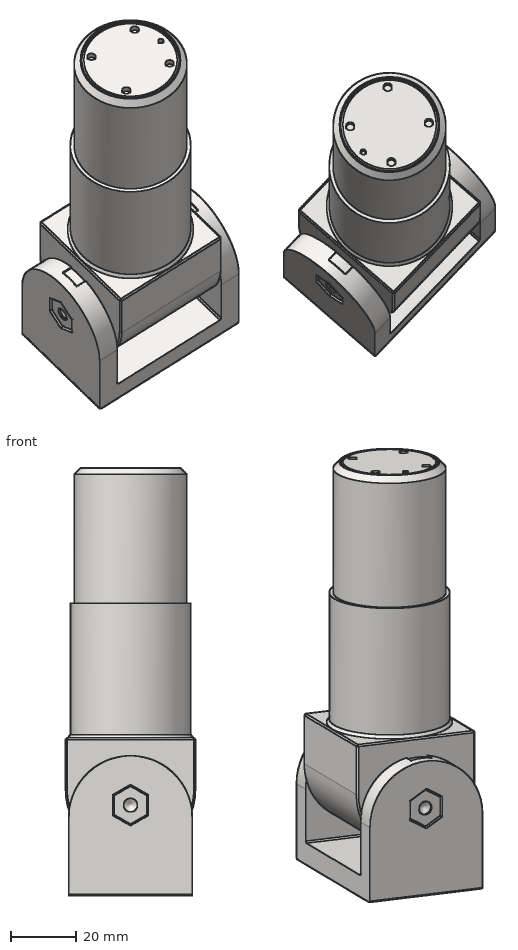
import cadquery as cq

YOKE_WIDTH = 38.0
YOKE_LENGTH = 55.0
YOKE_WALL = 7.0
ARCH_CENTER_Z = 24.0
YOKE_EDGE_CHAMFER = 0.5
NOTCH_WIDTH = 7.0
NOTCH_LENGTH = 3.4
NOTCH_DEPTH = 0.5

BLOCK_WIDTH = 40.0
BLOCK_TOP_Z = 48.5
BLOCK_ROUND_CENTER_Z = 32.6
BLOCK_CHAMFER = 0.5

PIVOT_Z = 27.9
SOCKET_FLATS = 10.9
HEAD_FLATS = 10.1
HEAD_RECESS = 0.7
HEAD_THICKNESS = 3.0
SHANK_DIAMETER = 6.0
SHANK_LENGTH_IN_BLOCK = 5.3
CENTER_HOLE_DIAMETER = 4.2
CENTER_HOLE_DEPTH = 0.7
CENTER_HOLE_POINT = 1.2

TOTAL_HEIGHT = 131.5
FOOT_DIAMETER = 38.7
FOOT_HEIGHT = 1.0
LOWER_DIAMETER = 37.1
UPPER_DIAMETER = 34.7
STEP_Z = 90.0
RIM_CHAMFER = 2.0

LID_DIAMETER = 30.0
LID_THICKNESS = 2.6
LID_CHAMFER = 0.7
SCREW_HOLE_DIAMETER = 2.6
SCREW_PITCH = 17.1
MARK_HOLE_DIAMETER = 1.7
MARK_HOLE_RADIUS = 12.0
LID_HOLE_DEPTH = 2.0

ARM_OUTER_Y = YOKE_LENGTH / 2
ARM_INNER_Y = ARM_OUTER_Y - YOKE_WALL
BLOCK_HALF = BLOCK_WIDTH / 2
HEX_CORNERS = 2 / 3 ** 0.5
HEAD_OUTER_Y = ARM_OUTER_Y - HEAD_RECESS
SOCKET_FLOOR_Y = HEAD_OUTER_Y - HEAD_THICKNESS
SHANK_END_Y = BLOCK_HALF - SHANK_LENGTH_IN_BLOCK


def arched_plate(half_width, center_z, flat_z, depth):
    """Plate centred on Y: a square end at flat_z and a half-round end on the other side of center_z."""
    direction = 1 if center_z > flat_z else -1
    return (
        cq.Workplane("XZ")
        .moveTo(-half_width, flat_z)
        .lineTo(half_width, flat_z)
        .lineTo(half_width, center_z)
        .threePointArc((0, center_z + direction * half_width), (-half_width, center_z))
        .close()
        .extrude(depth / 2, both=True)
    )


def pivot_plane(y):
    """Plane on the pivot axis at the given Y, facing -Y, with its X axis along +Z."""
    return cq.Workplane(cq.Plane(origin=(0, y, PIVOT_Z), xDir=(0, 0, 1), normal=(0, -1, 0)))


def mirrored_pair(shape):
    """The shape on the -Y side together with its mirror copy on the +Y side."""
    return [shape, shape.mirror("XZ")]


def hex_prism(flats, outer_y, inner_y):
    """Hexagonal prism on the pivot axis of the -Y arm, corners pointing up and down."""
    return pivot_plane(-inner_y).polygon(6, flats * HEX_CORNERS).extrude(outer_y - inner_y)


def shank():
    """Round pin shank from the socket floor into the block."""
    return pivot_plane(-SHANK_END_Y).circle(SHANK_DIAMETER / 2).extrude(SOCKET_FLOOR_Y - SHANK_END_Y)


def arm_notch():
    """Shallow notch in the crown of the -Y arm, open towards the block."""
    crown_radius = YOKE_WIDTH / 2
    notch_box = (
        cq.Workplane("XY", origin=(0, -ARM_INNER_Y - NOTCH_LENGTH / 2, ARCH_CENTER_Z))
        .rect(NOTCH_WIDTH, NOTCH_LENGTH)
        .extrude(2 * crown_radius)
    )
    notch_floor = (
        cq.Workplane("XZ", origin=(0, 0, ARCH_CENTER_Z))
        .circle(crown_radius - NOTCH_DEPTH)
        .extrude(ARM_OUTER_Y)
    )
    return notch_box.cut(notch_floor)


def make_yoke():
    yoke = arched_plate(YOKE_WIDTH / 2, ARCH_CENTER_Z, 0, YOKE_LENGTH)
    yoke = yoke.faces("<Z").edges("|X").chamfer(YOKE_EDGE_CHAMFER)
    opening = (
        cq.Workplane("XY", origin=(0, 0, YOKE_WALL))
        .rect(2 * YOKE_WIDTH, 2 * ARM_INNER_Y)
        .extrude(TOTAL_HEIGHT)
        .faces("<Z")
        .edges("|X")
        .chamfer(YOKE_EDGE_CHAMFER)
    )
    yoke = yoke.cut(opening)
    socket = hex_prism(SOCKET_FLATS, ARM_OUTER_Y, SOCKET_FLOOR_Y)
    for cutter in (socket, shank(), arm_notch()):
        for side_cutter in mirrored_pair(cutter):
            yoke = yoke.cut(side_cutter)
    return yoke


def make_block():
    block = arched_plate(BLOCK_HALF, BLOCK_ROUND_CENTER_Z, BLOCK_TOP_Z, BLOCK_WIDTH)
    block = block.faces("<Y or >Y or >Z").edges().chamfer(BLOCK_CHAMFER)
    for shank_bore in mirrored_pair(shank()):
        block = block.cut(shank_bore)
    return block


def make_pin():
    """Pin of the -Y arm: hexagonal head, round shank and a drilled centre hole with a conical end."""
    pin = hex_prism(HEAD_FLATS, HEAD_OUTER_Y, SOCKET_FLOOR_Y).union(shank())
    radius = CENTER_HOLE_DIAMETER / 2
    tip_depth = CENTER_HOLE_DEPTH + CENTER_HOLE_POINT
    center_hole = (
        cq.Workplane("XY", origin=(0, -HEAD_OUTER_Y, PIVOT_Z))
        .polyline([(0, 0), (radius, 0), (radius, CENTER_HOLE_DEPTH), (0, tip_depth)])
        .close()
        .revolve(360, (0, 0, 0), (0, 1, 0))
    )
    return pin.cut(center_hole)


def make_barrel():
    foot_top_z = BLOCK_TOP_Z + FOOT_HEIGHT
    barrel = (
        cq.Workplane("XZ")
        .moveTo(0, BLOCK_TOP_Z)
        .lineTo(FOOT_DIAMETER / 2, BLOCK_TOP_Z)
        .lineTo(LOWER_DIAMETER / 2, foot_top_z)
        .lineTo(LOWER_DIAMETER / 2, STEP_Z)
        .lineTo(UPPER_DIAMETER / 2, STEP_Z)
        .lineTo(UPPER_DIAMETER / 2, TOTAL_HEIGHT)
        .lineTo(0, TOTAL_HEIGHT)
        .close()
        .revolve()
        .faces(">Z")
        .edges()
        .chamfer(RIM_CHAMFER)
    )
    seat = (
        cq.Workplane("XY", origin=(0, 0, TOTAL_HEIGHT - LID_THICKNESS))
        .circle(LID_DIAMETER / 2)
        .extrude(LID_THICKNESS)
    )
    return barrel.cut(seat)


def make_lid():
    """Disc with four screw holes in a square and one small marking hole towards +Y."""
    lid = (
        cq.Workplane("XY", origin=(0, 0, TOTAL_HEIGHT - LID_THICKNESS))
        .circle(LID_DIAMETER / 2)
        .extrude(LID_THICKNESS)
        .faces(">Z")
        .edges()
        .chamfer(LID_CHAMFER)
    )
    hole_plane = cq.Workplane("XY", origin=(0, 0, TOTAL_HEIGHT - LID_HOLE_DEPTH))
    screw_holes = (
        hole_plane.rect(SCREW_PITCH, SCREW_PITCH, forConstruction=True)
        .vertices()
        .circle(SCREW_HOLE_DIAMETER / 2)
        .extrude(LID_HOLE_DEPTH)
    )
    mark_hole = (
        hole_plane.center(0, MARK_HOLE_RADIUS)
        .circle(MARK_HOLE_DIAMETER / 2)
        .extrude(LID_HOLE_DEPTH)
    )
    return lid.cut(screw_holes).cut(mark_hole)


yoke = make_yoke()
block = make_block()
barrel = make_barrel()
lid = make_lid()
pins = mirrored_pair(make_pin())

result = cq.Compound.makeCompound(
    [yoke.val(), block.val(), barrel.val(), lid.val(), *[pin.val() for pin in pins]]
)